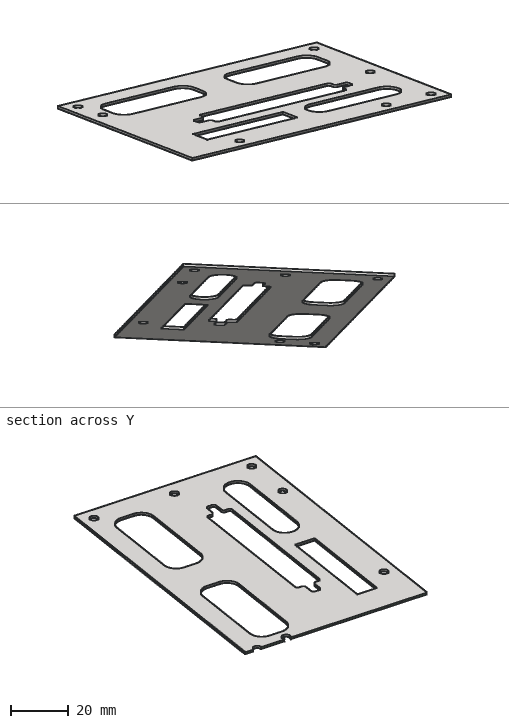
import cadquery as cq

plate_width = 75.0
plate_length = 115.0
plate_thickness = 1.0

hole_diameter = 3.2
hole_column_x = 32.5
corner_hole_y = 52.4
side_hole_y = 32.5
inner_hole_y = 51.4
lower_inner_hole_x = -20.0
hole_centers = [
    (-hole_column_x, corner_hole_y),
    (hole_column_x, corner_hole_y),
    (-hole_column_x, -corner_hole_y),
    (hole_column_x, side_hole_y),
    (hole_column_x, -side_hole_y),
    (0, inner_hole_y),
    (lower_inner_hole_x, -inner_hole_y),
]

window_length = 40.0
window_center_y = 27.5
wide_window_x = -21.8
wide_window_width = 15.0
wide_window_corner_radius = 5.0
right_window_x = 20.5
slot_width = 10.0
rectangle_width = 8.0
rectangle_center_y = -20.5

tabbed_center = (6.0, 3.5)
tabbed_body_width = 10.0
tabbed_body_length = 58.0
tab_width = 3.7
tabbed_total_length = 68.7
tabbed_corner_radius = 1.0


def box_cutter(center, width, length):
    """Block through the full plate thickness."""
    return cq.Workplane("XY").center(*center).rect(width, length).extrude(plate_thickness)


def wide_window(center_y):
    window = box_cutter((wide_window_x, center_y), wide_window_width, window_length)
    return window.edges("|Z").fillet(wide_window_corner_radius)


def round_ended_slot():
    return (
        cq.Workplane("XY")
        .center(right_window_x, window_center_y)
        .slot2D(window_length, slot_width, angle=90)
        .extrude(plate_thickness)
    )


def tabbed_opening():
    body = box_cutter(tabbed_center, tabbed_body_width, tabbed_body_length)
    tabs = box_cutter(tabbed_center, tab_width, tabbed_total_length)
    return body.union(tabs).edges("|Z").fillet(tabbed_corner_radius)


def screw_holes():
    return cq.Workplane("XY").pushPoints(hole_centers).circle(hole_diameter / 2).extrude(plate_thickness)


result = box_cutter((0, 0), plate_width, plate_length)
for window_y in (window_center_y, -window_center_y):
    result = result.cut(wide_window(window_y))
result = result.cut(round_ended_slot())
result = result.cut(box_cutter((right_window_x, rectangle_center_y), rectangle_width, window_length))
result = result.cut(tabbed_opening())
result = result.cut(screw_holes())